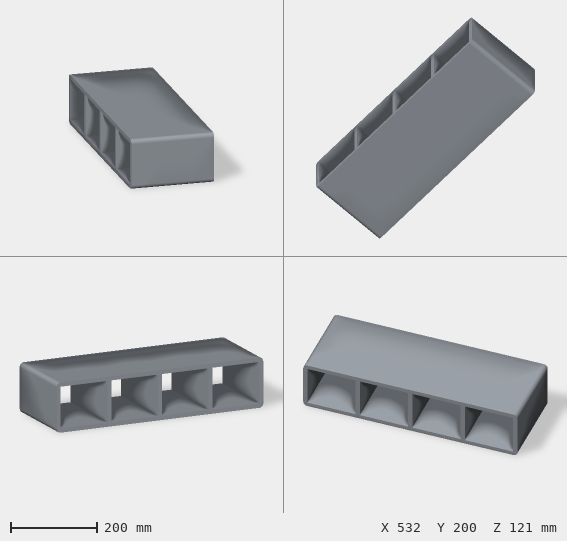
import cadquery as cq

length = 532.0
depth = 200.0
height = 121.0

wall = 10.0
corner_radius = wall
cell_count = 4
cell_width = (length - (cell_count + 1) * wall) / cell_count
cell_height = height - 2 * wall
cell_pitch = cell_width + wall

body = cq.Workplane("XY").box(length, depth, height)
body = body.edges("|Y").fillet(corner_radius)

for index in range(cell_count):
    cell_x = (index - (cell_count - 1) / 2) * cell_pitch
    cell = cq.Workplane("XY").box(cell_width, depth, cell_height)
    body = body.cut(cell.translate((cell_x, 0, 0)))

result = body